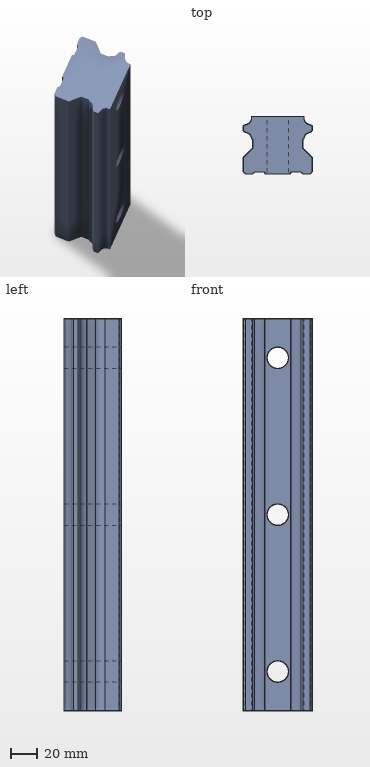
import cadquery as cq

length = 300.0
width = 53.0
height = 44.0
half_width = width / 2

head_half_width = 20.0
head_side_depth = 1.2
upper_race_end = (24.5, 6.3)
upper_race_middle = (21.3, 4.5)
lip_top_depth = 7.2
lip_bottom_depth = 10.8
lower_race_start = (25.0, 12.3)
lower_race_middle = (21.5, 13.8)
lower_race_end = (20.0, 17.0)

waist_half_width = 19.2
waist_top_depth = 17.7
waist_bottom_depth = 24.3
foot_top_depth = 31.5
foot_chamfer = 1.8

recess_inner = 9.5
recess_outer = 19.2
recess_depth = 1.5
recess_slope = 1.5
recess_inner_slope = 0.5

hole_diameter = 16.2
hole_pitch = 120.0
hole_count = 3


def below_top(half_size, depth):
    """Point on the +X flank at a depth below the top face."""
    return (half_size, height - depth)


def half_profile():
    """Half of the rail section on the +X side, closed along X = 0."""
    return (
        cq.Workplane("XY")
        .moveTo(0, height)
        .lineTo(head_half_width, height)
        .lineTo(*below_top(head_half_width, head_side_depth))
        .threePointArc(below_top(*upper_race_middle), below_top(*upper_race_end))
        .lineTo(*below_top(half_width, lip_top_depth))
        .lineTo(*below_top(half_width, lip_bottom_depth))
        .lineTo(*below_top(*lower_race_start))
        .threePointArc(below_top(*lower_race_middle), below_top(*lower_race_end))
        .lineTo(*below_top(waist_half_width, waist_top_depth))
        .lineTo(*below_top(waist_half_width, waist_bottom_depth))
        .lineTo(*below_top(half_width, foot_top_depth))
        .lineTo(half_width, foot_chamfer)
        .lineTo(half_width - foot_chamfer, 0)
        .lineTo(recess_outer, 0)
        .lineTo(recess_outer - recess_slope, recess_depth)
        .lineTo(recess_inner + recess_inner_slope, recess_depth)
        .lineTo(recess_inner, 0)
        .lineTo(0, 0)
        .close()
    )


def rail_body():
    half = half_profile().extrude(length)
    return half.union(half.mirror("YZ")).clean()


def mounting_holes():
    """Row of through holes along Y, centred on the rail length."""
    first = length / 2 - hole_pitch * (hole_count - 1) / 2
    centres = [(0, first + i * hole_pitch) for i in range(hole_count)]
    return (
        cq.Workplane("XZ")
        .pushPoints(centres)
        .circle(hole_diameter / 2)
        .extrude(-height)
    )


result = rail_body().cut(mounting_holes())